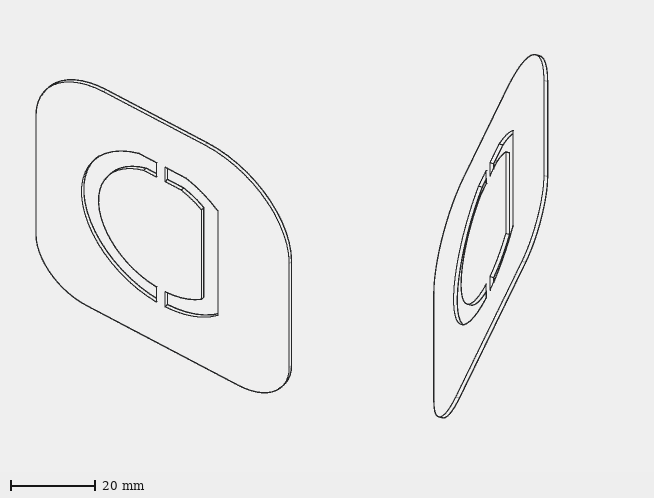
import cadquery as cq

side = 75
thickness = 1.0
top_left_radius = 20.0
top_right_radius = 25.0
bottom_radius = 15

ring_outer_radius = 24
ring_inner_radius = 19.0
outer_top_flat = 22.95
outer_right_flat = 16.35
flat_slot_width = 4.8

bridge_width = 2.55
bridge_offset = -0.5


def flattened_disc(radius, top_flat, right_flat):
    """Disc trimmed by a horizontal top flat and a vertical right flat."""
    disc = cq.Workplane("XZ", origin=(0, thickness / 2, 0)).circle(radius).extrude(thickness)
    limits = (
        cq.Workplane("XY")
        .box(right_flat + radius, thickness, top_flat + radius)
        .translate(((right_flat - radius) / 2, 0, (top_flat - radius) / 2))
    )
    return disc.intersect(limits)


plate = cq.Workplane("XY").box(side, thickness, side)
plate = plate.edges(">X and >Z").fillet(top_right_radius)
plate = plate.edges("<X and >Z").fillet(top_left_radius)
plate = plate.edges("|Y and <Z").fillet(bottom_radius)

opening = flattened_disc(ring_outer_radius, outer_top_flat, outer_right_flat)
island = flattened_disc(
    ring_inner_radius,
    outer_top_flat - flat_slot_width,
    outer_right_flat - flat_slot_width,
)
bridge = cq.Workplane("XY").box(bridge_width, thickness, side).translate((bridge_offset, 0, 0))
result = plate.cut(opening.cut(island).cut(bridge))